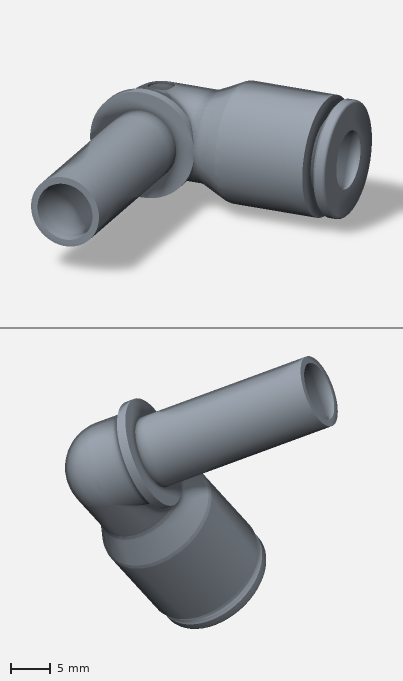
import cadquery as cq
import math

elbow_radius = 6.1
bore_radius = 3.85

stem_radius = 4.7625
stem_end_y = -30.6
flange_radius = 7.28
flange_thickness = 1.25
flange_back_y = -4.86

socket_radius = 8.0
taper_start_x = 7.14
taper_angle = 25
taper_blend_radius = 1.3
socket_end_x = 23.27

ring_neck_radius = 5.37
ring_radius = 7.75
ring_start_x = 24.55
ring_end_x = 26.2
ring_back_chamfer = 0.35
ring_front_fillet = 0.35

recess_radius = 1.75
recess_depth = 0.6

taper_end_x = taper_start_x + (socket_radius - elbow_radius) / math.tan(math.radians(taper_angle))


def cylinder_along_x(radius, start_x, end_x):
    return cq.Workplane("YZ", origin=(start_x, 0, 0)).circle(radius).extrude(end_x - start_x)


def cylinder_along_y(radius, start_y, end_y):
    """Cylinder running from start_y towards -Y, down to end_y."""
    return cq.Workplane("XZ", origin=(0, start_y, 0)).circle(radius).extrude(start_y - end_y)


def join_at_corner(leg_x, leg_y, radius):
    """Join two legs of equal radius that start at the origin, with a ball closing the outer corner."""
    return leg_x.union(leg_y).union(cq.Workplane("XY").sphere(radius))


def make_socket():
    """Revolved sleeve that widens through a blended taper."""
    profile = [
        (0, 0),
        (0, elbow_radius),
        (taper_start_x, elbow_radius),
        (taper_end_x, socket_radius),
        (socket_end_x, socket_radius),
        (socket_end_x, 0),
    ]
    sleeve = cq.Workplane("XY").polyline(profile).close().revolve(360, (0, 0, 0), (1, 0, 0))
    for edge_x in (taper_start_x, taper_end_x):
        taper_edge = cq.selectors.BoxSelector(
            (edge_x - taper_blend_radius, -socket_radius, -socket_radius),
            (edge_x + taper_blend_radius, socket_radius, socket_radius),
        )
        sleeve = sleeve.edges("%CIRCLE").edges(taper_edge).fillet(taper_blend_radius)
    return sleeve


def make_release_ring():
    """Neck and rim projecting from the socket mouth."""
    rim = cylinder_along_x(ring_radius, ring_start_x, ring_end_x)
    rim = rim.faces("<X").edges().chamfer(ring_back_chamfer)
    rim = rim.faces(">X").edges().fillet(ring_front_fillet)
    return rim.union(cylinder_along_x(ring_neck_radius, socket_end_x, ring_end_x))


def make_stem():
    """Tube stem with its flange."""
    flange_front_y = flange_back_y - flange_thickness
    flange = cylinder_along_y(flange_radius, flange_back_y, flange_front_y)
    return flange.union(cylinder_along_y(stem_radius, flange_back_y, stem_end_y))


def make_recess():
    return (
        cq.Workplane("XY", origin=(0, 0, elbow_radius - recess_depth))
        .circle(recess_radius)
        .extrude(recess_depth)
    )


body = join_at_corner(make_socket(), cylinder_along_y(elbow_radius, 0, flange_back_y), elbow_radius)
body = body.union(make_release_ring()).union(make_stem())
bore = join_at_corner(
    cylinder_along_x(bore_radius, 0, ring_end_x),
    cylinder_along_y(bore_radius, 0, stem_end_y),
    bore_radius,
)
result = body.cut(bore).cut(make_recess())